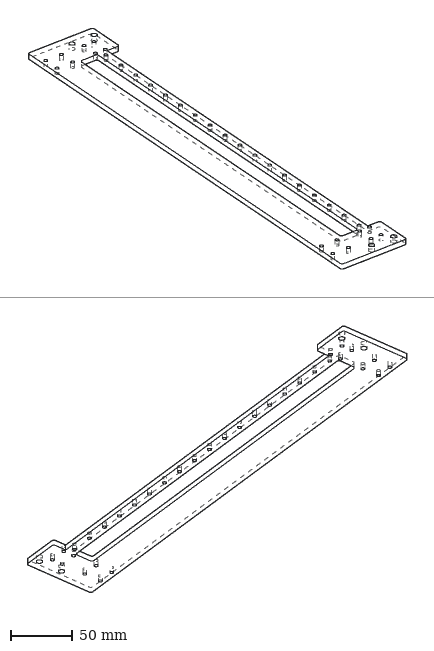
import cadquery as cq

length = 422.0
width = 66.5
thickness = 5.0
corner_radius = 2.0

tab_length = 36.0
notch_depth = 12.5
rail_width = 10.0
window_depth = notch_depth + rail_width
window_width = 17.5
opening_length = length - 2 * tab_length

rail_hole_count = 18
rail_hole_span = 340.0
small_hole_diameter = 3.15

tab_hole_insets = (18.0, 33.5)
tab_hole_depths = (notch_depth, window_depth, 46.0, 62.0)
large_hole_diameter = 5.0
large_hole_inset = 9.5
large_hole_depths = (6.0, 28.5)

back_edge = width / 2
rail_center_depth = notch_depth + rail_width / 2


def cutout(depth, cut_width):
    """Block spanning between the tabs, starting at a depth from the back edge."""
    block = cq.Workplane("XY").box(opening_length, cut_width, thickness)
    return block.translate((0, back_edge - depth - cut_width / 2, 0))


def drill(body, points, diameter):
    """Drill through holes at the given points."""
    return body.faces(">Z").workplane(origin=(0, 0, 0)).pushPoints(points).hole(diameter)


def tab_points(insets, depths):
    """Hole centers mirrored onto both end tabs."""
    points = []
    for side in (-1, 1):
        for inset in insets:
            for depth in depths:
                points.append((side * (length / 2 - inset), back_edge - depth))
    return points


plate = cq.Workplane("XY").box(length, width, thickness)
plate = plate.edges("|Z").fillet(corner_radius)
plate = plate.cut(cutout(0, notch_depth))
tab_corners = cq.selectors.BoxSelector(
    (-opening_length / 2 - corner_radius / 2, back_edge - corner_radius / 2, -thickness),
    (opening_length / 2 + corner_radius / 2, back_edge + corner_radius / 2, thickness),
)
plate = plate.edges("|Z").edges(tab_corners).fillet(corner_radius)

window = cutout(window_depth, window_width).edges("|Z").fillet(corner_radius)
plate = plate.cut(window)

rail_hole_pitch = rail_hole_span / (rail_hole_count - 1)
rail_points = []
for index in range(rail_hole_count):
    rail_points.append((-rail_hole_span / 2 + index * rail_hole_pitch, back_edge - rail_center_depth))
plate = drill(plate, rail_points, small_hole_diameter)

plate = drill(plate, tab_points(tab_hole_insets, tab_hole_depths), small_hole_diameter)
plate = drill(plate, tab_points((large_hole_inset,), large_hole_depths), large_hole_diameter)

result = plate